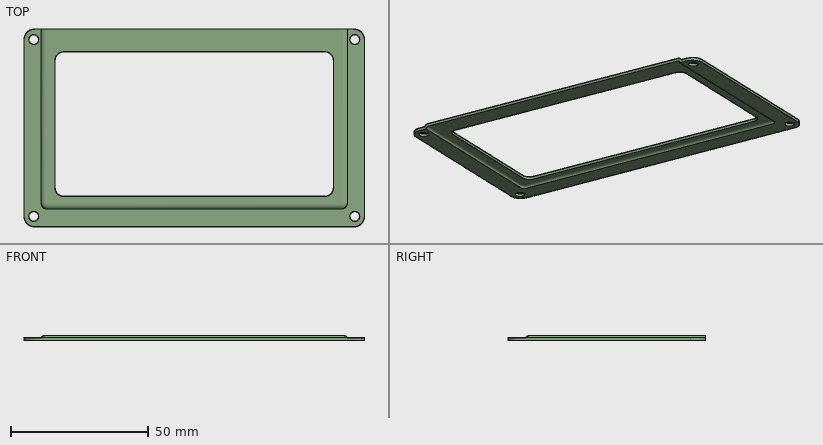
import cadquery as cq

LENGTH = 124.0
WIDTH = 72.0
SHEET_THICKNESS = 1.1
CORNER_RADIUS = 4.0

TOTAL_HEIGHT = 2.0
PANEL_LENGTH = 112.1
PANEL_FRONT_MARGIN = 6.2
PANEL_CORNER_RADIUS = 2.5

WINDOW_LENGTH = 101.2
WINDOW_FRONT = -24.8
WINDOW_REAR = 27.7
WINDOW_RADIUS = 3.0

HOLE_DIAMETER = 3.5
HOLE_SPACING_X = 116.8
HOLE_SPACING_Y = 64.4


def base_plate():
    plate = cq.Workplane("XY").box(LENGTH, WIDTH, SHEET_THICKNESS, centered=(True, True, False))
    return plate.edges("|Z").fillet(CORNER_RADIUS)


def rounded_panel(inset):
    """Panel with a rounded top edge at the sides and front, shrunk inward by the inset.

    Any inset leaves the rounds concentric: their centres lie on the underside of the plate.
    """
    radius = TOTAL_HEIGHT - inset
    length = PANEL_LENGTH - 2 * inset
    front = -WIDTH / 2 + PANEL_FRONT_MARGIN + inset
    blank = (
        cq.Workplane("XY")
        .box(length, WIDTH / 2 - front, 2 * TOTAL_HEIGHT, centered=(True, False, False))
        .translate((0, front, radius - 2 * TOTAL_HEIGHT))
    )
    blank = blank.faces("<Y").edges("|Z").fillet(PANEL_CORNER_RADIUS - inset)
    panel = blank.faces(">Z").edges("<Y").fillet(radius)
    above_underside = cq.Workplane("XY").box(LENGTH, WIDTH, TOTAL_HEIGHT, centered=(True, True, False))
    return panel.intersect(above_underside)


def window():
    return (
        cq.Workplane("XY")
        .center(0, (WINDOW_FRONT + WINDOW_REAR) / 2)
        .rect(WINDOW_LENGTH, WINDOW_REAR - WINDOW_FRONT)
        .extrude(TOTAL_HEIGHT)
        .edges("|Z")
        .fillet(WINDOW_RADIUS)
    )


def mounting_holes():
    return (
        cq.Workplane("XY")
        .rect(HOLE_SPACING_X, HOLE_SPACING_Y, forConstruction=True)
        .vertices()
        .circle(HOLE_DIAMETER / 2)
        .extrude(TOTAL_HEIGHT)
    )


raised_panel = rounded_panel(0)
underside_recess = rounded_panel(SHEET_THICKNESS)
sheet = base_plate().union(raised_panel).cut(underside_recess)
result = sheet.cut(window()).cut(mounting_holes())